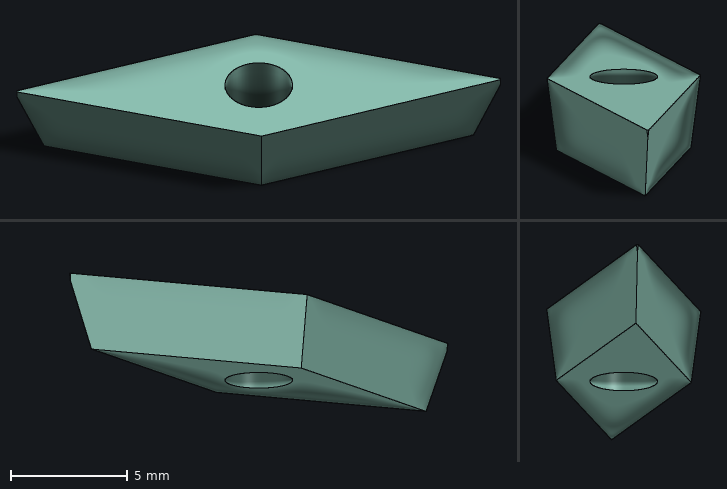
import cadquery as cq
import math

overall_length = 19.92
width = 6.35
thickness = 3.19
point_angle = 35.0
relief_angle = 7.0
hole_diameter = 2.9

angle = math.radians(point_angle)
side = width / math.sin(angle)
lean = side * math.cos(angle)
tip_x = (side + lean) / 2
blunt_x = (side - lean) / 2
half_width = width / 2

edge_trim = (tip_x - overall_length / 2) / math.cos(angle)
half_diagonal = math.hypot(tip_x, half_width)
trimmed_diagonal = 2 * (half_diagonal - edge_trim * math.cos(angle / 2))
diagonal_angle = point_angle / 2


def tapered_body():
    """Rhombic block that narrows from the top face to the bottom face."""
    corners = [
        (-tip_x, -half_width),
        (blunt_x, -half_width),
        (tip_x, half_width),
        (-blunt_x, half_width),
    ]
    return (
        cq.Workplane("XY")
        .workplane(offset=thickness)
        .polyline(corners)
        .close()
        .extrude(-thickness, taper=relief_angle)
    )


def tip_trim():
    """Block along the long diagonal whose ends trim the two sharp tips."""
    return (
        cq.Workplane("XY")
        .rect(trimmed_diagonal, overall_length)
        .extrude(thickness)
        .rotate((0, 0, 0), (0, 0, 1), diagonal_angle)
    )


def center_hole():
    return cq.Workplane("XY").circle(hole_diameter / 2).extrude(thickness)


result = tapered_body().intersect(tip_trim()).cut(center_hole())